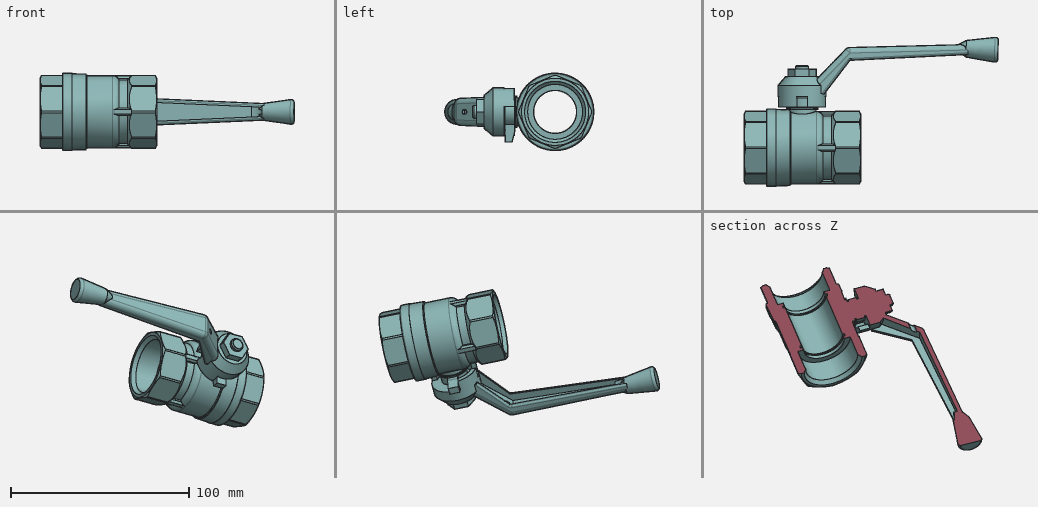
import cadquery as cq
import math


overall_length = 142.8

body_length = 65.5
octagon_corner_radius = 20.7
octagon_turned_radius = 41.0 / 2
octagon_end_radius = 18.8
octagon_end_chamfer = 0.9
left_octagon_end = 12.5
right_octagon_start = 49.0
right_octagon_full = 51.4
collar_radius = 43.5 / 2
collar_end = 18.0
collar_edge = 0.7
sleeve_start_radius = 21.5
sleeve_end_radius = 21.3
sleeve_shoulder_radius = 20.8
sleeve_end = 25.8
shell_radius = 20.4
shell_start = 26.4
shell_end = 40.5
neck_radius = 18.0
neck_start = 44.4

rib_width = 4.3
rib_top_width = 2.5
rib_bottom = 14.3
rib_top = 20.3
rib_shoulder = 18.8

port_radius = 12.0
thread_radius = 15.4
mouth_radius = 17.1
mouth_depth = 2.3
thread_depth = 15.3
seat_width = 2.1
seat_groove_radius = 13.1
seat_groove_width = 1.1

stem_x = 32.5
boss_radius = 7.9
flange_radius = 8.9
flange_bottom = 21.4
flange_top = 22.3
gland_radius = 7.5
gland_bottom = 22.8
gland_top = 28.0
spindle_radius = 6.4
stop_width = 5.9
stop_reach = 17.0
stop_shoulder_reach = 10.8
stop_shoulder_y = 22.5
stop_tip_y = 24.1

cap_radius = 13.5
skirt_inner_radius = 10.7
skirt_bottom = 22.8
skirt_top = 28.7
cap_shoulder = 34.8
cap_top = 39.8
cap_top_radius = 9.4
notch_width = 5.9

nut_corner_radius = 8.0
nut_top = 44.1
tip_radius = 3.7
tip_top = 46.3
tip_chamfer = 0.7

arm_root = (35.7, 33.3)
arm_top_bend = (58.0, 56.2)
arm_top_end = (125.8, 58.0)
arm_bottom_end = (125.8, 52.2)
arm_bottom_bend = (59.4, 49.0)
arm_bottom_root = (44.8, 30.0)
arm_root_x = arm_root[0]
arm_root_half_width = 8.7
arm_end_half_width = 4.7
arm_top_fillet = 3.1
arm_bend_fillet = 2.9
arm_lip_fillet = 1.1
arm_wall = 2.1
arm_web = 2.9
channel_floor_end = 118.8
channel_step = 2.0
runout_radius = 8.3
runout_length = 6.9
arm_hole_radius = 1.3
arm_hole_y = 50.8

grip_neck_x = 119.2
grip_neck_radius = 1.7
grip_start = 124.6
grip_start_radius = 4.7
grip_rim = 140.6
grip_rim_radius = 7.0
grip_end_radius = 5.9
grip_y = 55.5
grip_tilt = -2.0

tilt_angle = math.radians(grip_tilt)
grip_end_run = overall_length - grip_start + grip_end_radius * math.sin(tilt_angle)
grip_end = grip_start + grip_end_run / math.cos(tilt_angle)


def stem_cylinder(radius, bottom, top):
    """Cylinder on the stem axis between two heights along Y."""
    plane = cq.Plane(origin=(stem_x, bottom, 0), xDir=(1, 0, 0), normal=(0, 1, 0))
    return cq.Workplane(plane).circle(radius).extrude(top - bottom)


def octagon_end(start, end, turned_profile):
    """Octagonal wrench end trimmed by a turned profile of (x, radius) points."""
    octagon = (
        cq.Workplane("YZ", origin=(start, 0, 0))
        .polygon(8, 2 * octagon_corner_radius)
        .extrude(end - start)
    )
    points = [(start, 0)] + turned_profile + [(end, 0)]
    turned = cq.Workplane("XY").polyline(points).close().revolve(360, (0, 0, 0), (1, 0, 0))
    return octagon.intersect(turned)


def make_body():
    barrel = (
        cq.Workplane("XY")
        .moveTo(left_octagon_end, 0)
        .lineTo(left_octagon_end, collar_radius - collar_edge)
        .tangentArcPoint((left_octagon_end + collar_edge, collar_radius), relative=False)
        .lineTo(collar_end, collar_radius)
        .lineTo(collar_end, sleeve_start_radius)
        .lineTo(sleeve_end, sleeve_end_radius)
        .lineTo(sleeve_end, sleeve_shoulder_radius)
        .lineTo(shell_start, shell_radius)
        .lineTo(shell_end, shell_radius)
        .tangentArcPoint((neck_start, neck_radius), relative=False)
        .lineTo(right_octagon_full, neck_radius)
        .lineTo(right_octagon_full, 0)
        .close()
        .revolve(360, (0, 0, 0), (1, 0, 0))
    )
    left_end = octagon_end(0, left_octagon_end, [
        (0, octagon_end_radius),
        (octagon_end_chamfer, octagon_turned_radius),
        (left_octagon_end, octagon_turned_radius),
    ])
    right_end = octagon_end(right_octagon_start, body_length, [
        (right_octagon_start, neck_radius),
        (right_octagon_full, octagon_turned_radius),
        (body_length - octagon_end_chamfer, octagon_turned_radius),
        (body_length, octagon_end_radius),
    ])
    body = barrel.union(left_end).union(right_end)
    rib = (
        cq.Workplane("YZ", origin=(shell_end, 0, 0))
        .polyline([
            (-rib_width / 2, rib_bottom),
            (-rib_width / 2, rib_shoulder),
            (-rib_top_width / 2, rib_top),
            (rib_top_width / 2, rib_top),
            (rib_width / 2, rib_shoulder),
            (rib_width / 2, rib_bottom),
        ])
        .close()
        .extrude(right_octagon_full - shell_end)
    )
    for quarter in range(4):
        body = body.union(rib.rotate((0, 0, 0), (1, 0, 0), 90 * quarter))
    return body


def make_bore():
    half_length = body_length / 2
    groove_start = thread_depth + seat_width
    groove_end = groove_start + seat_groove_width
    profile = [
        (0, 0),
        (0, mouth_radius),
        (mouth_depth, thread_radius),
        (thread_depth, thread_radius),
        (thread_depth, port_radius),
        (groove_start, port_radius),
        (groove_start, seat_groove_radius),
        (groove_end, seat_groove_radius),
        (groove_end, port_radius),
        (half_length, port_radius),
        (half_length, 0),
    ]
    half_bore = cq.Workplane("XY").polyline(profile).close().revolve(360, (0, 0, 0), (1, 0, 0))
    return half_bore.union(half_bore.mirror("YZ", (half_length, 0, 0)))


def make_stem():
    stem = stem_cylinder(boss_radius, 0, flange_bottom)
    stem = stem.union(stem_cylinder(flange_radius, flange_bottom, flange_top))
    stem = stem.union(stem_cylinder(gland_radius, gland_bottom, gland_top))
    stem = stem.union(stem_cylinder(spindle_radius, flange_bottom, cap_shoulder))
    stop = (
        cq.Workplane("YZ", origin=(stem_x - stop_width / 2, 0, 0))
        .polyline([
            (gland_top, 0),
            (stop_shoulder_y, 0),
            (stop_shoulder_y, -stop_shoulder_reach),
            (stop_tip_y, -stop_reach),
            (gland_top, -stop_reach),
        ])
        .close()
        .extrude(stop_width)
    )
    return stem.union(stop)


def make_cap():
    cap = (
        cq.Workplane("XY")
        .polyline([
            (stem_x, skirt_bottom),
            (stem_x + cap_radius, skirt_bottom),
            (stem_x + cap_radius, cap_shoulder),
            (stem_x + cap_top_radius, cap_top),
            (stem_x, cap_top),
        ])
        .close()
        .revolve(360, (stem_x, 0, 0), (stem_x, 1, 0))
    )
    cap = cap.cut(stem_cylinder(skirt_inner_radius, skirt_bottom, skirt_top))

    skirt_height = skirt_top - skirt_bottom
    half_notch = notch_width / 2
    notch = (
        cq.Workplane("XY")
        .box(notch_width, skirt_height, cap_radius, centered=(True, False, False))
        .translate((stem_x, skirt_bottom, 0))
    )
    side_notch = notch.rotate((stem_x, 0, 0), (stem_x, 1, 0), 90)
    window_size = cap_radius + half_notch
    travel_window = (
        cq.Workplane("XY")
        .box(window_size, skirt_height, window_size, centered=False)
        .translate((stem_x - cap_radius, skirt_bottom, -cap_radius))
    )
    return cap.cut(notch).cut(side_notch).cut(travel_window)


def make_nut():
    plane = cq.Plane(origin=(stem_x, cap_top, 0), xDir=(1, 0, 0), normal=(0, 1, 0))
    nut = cq.Workplane(plane).polygon(6, 2 * nut_corner_radius).extrude(nut_top - cap_top)
    tip = stem_cylinder(tip_radius, cap_top, tip_top).faces(">Y").chamfer(tip_chamfer)
    return nut.union(tip)


def arm_taper(inset, end_x):
    """Block tapering in Z along the arm, set in from the arm's sides by `inset`."""
    slope = (arm_root_half_width - arm_end_half_width) / (arm_top_end[0] - arm_root_x)
    root_half = arm_root_half_width - inset
    end_half = root_half - slope * (end_x - arm_root_x)
    height = arm_top_end[1] + arm_web
    return (
        cq.Workplane("XZ")
        .polyline([
            (arm_root_x, -root_half),
            (end_x, -end_half),
            (end_x, end_half),
            (arm_root_x, root_half),
        ])
        .close()
        .extrude(-height)
    )


def make_arm():
    side = [arm_root, arm_top_bend, arm_top_end, arm_bottom_end, arm_bottom_bend, arm_bottom_root]
    arm = (
        cq.Workplane("XY")
        .polyline(side)
        .close()
        .extrude(arm_root_half_width, both=True)
        .intersect(arm_taper(0, arm_top_end[0]))
    )
    bend_edge = cq.selectors.NearestToPointSelector((*arm_top_bend, 0))
    arm = arm.edges(bend_edge).fillet(arm_bend_fillet)

    top_mid = ((arm_top_bend[0] + arm_top_end[0]) / 2, (arm_top_bend[1] + arm_top_end[1]) / 2)
    top_face = cq.selectors.NearestToPointSelector((*top_mid, 0))
    arm = arm.faces(top_face).edges("not |Z").fillet(arm_top_fillet)
    for start, end in ((arm_bottom_bend, arm_bottom_end), (arm_bottom_root, arm_bottom_bend)):
        middle = ((start[0] + end[0]) / 2, (start[1] + end[1]) / 2, 0)
        lip_face = cq.selectors.NearestToPointSelector(middle)
        arm = arm.faces(lip_face).edges("not |Z").fillet(arm_lip_fillet)
    return arm


def make_channel():
    web_slant = arm_web * math.sqrt(2)
    floor_y = arm_top_end[1] - arm_web
    channel_end = channel_floor_end + runout_length
    runout_drop = runout_radius - math.sqrt(runout_radius ** 2 - runout_length ** 2)
    step_y = floor_y - channel_step
    return (
        cq.Workplane("XY")
        .moveTo(arm_root[0] + web_slant, arm_root[1])
        .lineTo(arm_top_bend[0] + web_slant / 2, arm_top_bend[1] - arm_web)
        .lineTo(channel_floor_end, floor_y)
        .lineTo(channel_floor_end, step_y)
        .radiusArc((channel_end, step_y - runout_drop), runout_radius)
        .lineTo(arm_bottom_bend[0] + arm_web, arm_bottom_bend[1] - arm_web)
        .lineTo(arm_bottom_root[0] + arm_web, arm_bottom_root[1] - arm_web)
        .close()
        .extrude(arm_root_half_width, both=True)
        .intersect(arm_taper(arm_wall, channel_end))
    )


def make_arm_hole():
    return (
        cq.Workplane("YZ", origin=(arm_bottom_root[0], arm_hole_y, 0))
        .circle(arm_hole_radius)
        .extrude(arm_bottom_bend[0] - arm_bottom_root[0])
    )


def make_grip():
    grip = (
        cq.Workplane("XY")
        .moveTo(grip_neck_x, grip_y)
        .lineTo(grip_neck_x, grip_y + grip_neck_radius)
        .lineTo(grip_start, grip_y + grip_start_radius)
        .lineTo(grip_rim, grip_y + grip_rim_radius)
        .tangentArcPoint((grip_end, grip_y + grip_end_radius), relative=False)
        .lineTo(grip_end, grip_y)
        .close()
        .revolve(360, (0, grip_y, 0), (1, grip_y, 0))
    )
    return grip.rotate((grip_start, grip_y, 0), (grip_start, grip_y, 1), grip_tilt)


valve_body = make_body().union(make_stem()).cut(make_bore())
lever = make_arm().union(make_grip()).cut(make_channel()).cut(make_arm_hole())
handle = make_cap().union(lever).union(make_nut())
result = valve_body.union(handle)